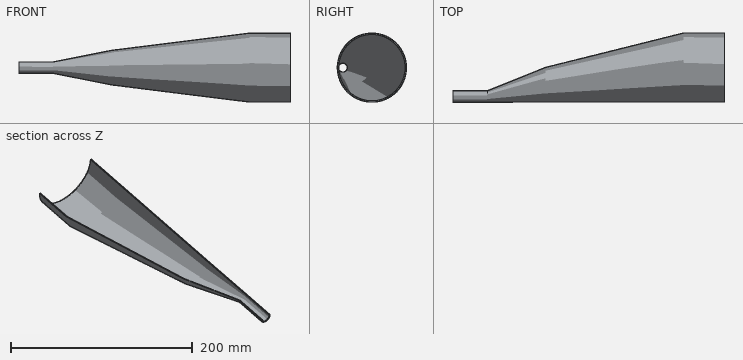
import cadquery as cq

total_length = 298.5
spigot_length = 38.0
first_cone_end = 101.8
socket_length = 44.8
spigot_diameter = 12.8
middle_diameter = 38.2
socket_diameter = 76.0
socket_bore = 72.8
spigot_overhang = 0.3

wall = (socket_diameter - socket_bore) / 2
flush_side_y = -socket_diameter / 2
socket_start = total_length - socket_length
spigot_axis_y = flush_side_y - spigot_overhang + spigot_diameter / 2
middle_axis_y = flush_side_y + middle_diameter / 2
socket_axis_y = 0.0

sections = [
    (0.0, spigot_axis_y, spigot_diameter),
    (spigot_length, spigot_axis_y, spigot_diameter),
    (first_cone_end, middle_axis_y, middle_diameter),
    (socket_start, socket_axis_y, socket_diameter),
    (total_length, socket_axis_y, socket_diameter),
]


def duct_body(inset):
    """Solid through all sections, each shrunk by the inset on its radius."""
    axis_direction = cq.Vector(1, 0, 0)
    rings = [
        cq.Wire.makeCircle(diameter / 2 - inset, cq.Vector(x, axis_y, 0), axis_direction)
        for x, axis_y, diameter in sections
    ]
    return cq.Workplane(cq.Solid.makeLoft(rings, True))


outer_body = duct_body(0.0)
bore = duct_body(wall)
result = outer_body.cut(bore)